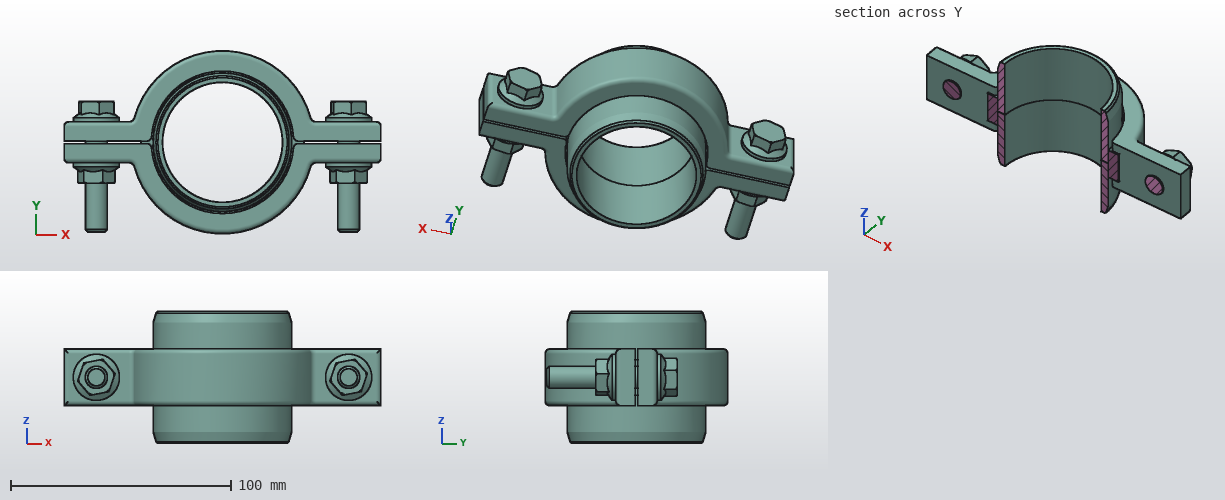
import cadquery as cq
import math

JOINED_LENGTH = 60.0
PIPE_LENGTH = JOINED_LENGTH / 2
PIPE_RADIUS = 31.5
PIPE_BORE_RADIUS = 27.2
BEVEL_LENGTH = 5.2
BEVEL_END_RADIUS = 30.2
PIPE_END_CHAMFER = 0.9

CLAMP_LENGTH = 143.9
CLAMP_HEIGHT = 25.8
RING_RADIUS = 41.6
CLAMP_BORE_RADIUS = 32.4
HALF_GAP = 0.6
LUG_FACE_Y = 9.4
RING_FOOT_X = math.sqrt(RING_RADIUS**2 - LUG_FACE_Y**2)
EDGE_FILLET = 2.2
ROOT_FILLET = 2.5
BORE_MOUTH_FILLET = 2.0

GASKET_RADIUS = 37.1
GASKET_HEIGHT = 16.1

BOLT_X = 57.3
BOLT_RADIUS = 5.0
BOLT_TIP_Y = -40.7
BOLT_TIP_CHAMFER = 1.2
FLANGE_RADIUS = 10.5
FLANGE_RIM = 1.7
FLANGE_CONE_SLOPE = 0.75
HEX_HEIGHT = 9.2
HEX_ACROSS_FLATS = 15.0
HEX_RADIUS = HEX_ACROSS_FLATS / math.sqrt(3)
HEX_CHAMFER = 0.6
HEX_END_RADIUS = 8.0

HEAD_TURN = -22.0
NUT_TURN = 11.0


def make_pipe(direction):
    """One pipe from the joint plane towards +Z (direction 1) or -Z (direction -1)."""
    profile = [
        (-PIPE_BORE_RADIUS, 0),
        (-PIPE_RADIUS, 0),
        (-PIPE_RADIUS, direction * (PIPE_LENGTH - BEVEL_LENGTH)),
        (-BEVEL_END_RADIUS, direction * (PIPE_LENGTH - PIPE_END_CHAMFER)),
        (-BEVEL_END_RADIUS + PIPE_END_CHAMFER, direction * PIPE_LENGTH),
        (-PIPE_BORE_RADIUS, direction * PIPE_LENGTH),
    ]
    return cq.Workplane("XZ").polyline(profile).close().revolve(360, (0, 0), (0, 1))


def make_gasket():
    """Seal ring around the pipe joint, centred on the joint plane."""
    rim = cq.Workplane("XY").circle(GASKET_RADIUS).circle(PIPE_RADIUS)
    return rim.extrude(GASKET_HEIGHT / 2, both=True)


def clamp_blank():
    """Half ring on +Y with a lug at each end, before it is rounded and bored."""
    return (
        cq.Workplane("XY")
        .workplane(offset=-CLAMP_HEIGHT / 2)
        .moveTo(-CLAMP_LENGTH / 2, HALF_GAP)
        .lineTo(CLAMP_LENGTH / 2, HALF_GAP)
        .lineTo(CLAMP_LENGTH / 2, LUG_FACE_Y)
        .lineTo(RING_FOOT_X, LUG_FACE_Y)
        .threePointArc((0, RING_RADIUS), (-RING_FOOT_X, LUG_FACE_Y))
        .lineTo(-CLAMP_LENGTH / 2, LUG_FACE_Y)
        .close()
        .extrude(CLAMP_HEIGHT)
    )


def upright_edges_at(x, y):
    """Selector for the edges parallel to Z that stand at (x, y) or (-x, y)."""
    reach = 0.1
    right = cq.selectors.BoxSelector((x - reach, y - reach, -reach), (x + reach, y + reach, reach))
    left = cq.selectors.BoxSelector((-x - reach, y - reach, -reach), (-x + reach, y + reach, reach))
    return right + left


def outer_rim_edges():
    """Selector for the top and bottom edges of the outward lug and ring faces."""
    behind_gap = cq.selectors.BoxSelector(
        (-CLAMP_LENGTH, LUG_FACE_Y - EDGE_FILLET, -CLAMP_HEIGHT),
        (CLAMP_LENGTH, CLAMP_LENGTH, CLAMP_HEIGHT),
    )
    return cq.selectors.SubtractSelector(behind_gap, cq.selectors.ParallelDirSelector(cq.Vector(0, 0, 1)))


def make_rear_clamp():
    """Clamp half on the +Y side of the split."""
    clamp = clamp_blank()
    clamp = clamp.edges(upright_edges_at(RING_FOOT_X, LUG_FACE_Y)).fillet(ROOT_FILLET)
    outer_edges = outer_rim_edges() + upright_edges_at(CLAMP_LENGTH / 2, LUG_FACE_Y)
    clamp = clamp.edges(outer_edges).fillet(EDGE_FILLET)

    bore = cq.Workplane("XY").circle(CLAMP_BORE_RADIUS).extrude(CLAMP_HEIGHT, both=True)
    bore_mouth_x = math.sqrt(CLAMP_BORE_RADIUS**2 - HALF_GAP**2)
    clamp = clamp.cut(bore)
    clamp = clamp.edges(upright_edges_at(bore_mouth_x, HALF_GAP)).fillet(BORE_MOUTH_FILLET)

    gasket_groove = cq.Workplane("XY").circle(GASKET_RADIUS).extrude(GASKET_HEIGHT / 2, both=True)
    bolt_holes = (
        cq.Workplane("XZ")
        .pushPoints([(-BOLT_X, 0), (BOLT_X, 0)])
        .circle(BOLT_RADIUS)
        .extrude(-LUG_FACE_Y)
    )
    return clamp.cut(gasket_groove).cut(bolt_holes)


def flanged_hex():
    """Hexagon on a conical flange, seated on the XY plane and rising along +Z."""
    cone_top_z = FLANGE_RIM + FLANGE_CONE_SLOPE * (FLANGE_RADIUS - BOLT_RADIUS)
    flange_profile = [
        (0, 0),
        (FLANGE_RADIUS, 0),
        (FLANGE_RADIUS, FLANGE_RIM),
        (BOLT_RADIUS, cone_top_z),
        (0, cone_top_z),
    ]
    flange = cq.Workplane("XZ").polyline(flange_profile).close().revolve(360, (0, 0), (0, 1))

    hexagon = cq.Workplane("XY").polygon(6, 2 * HEX_RADIUS).extrude(HEX_HEIGHT)
    turned_blank = (
        cq.Workplane("XY")
        .circle(HEX_RADIUS)
        .extrude(HEX_HEIGHT)
        .faces(">Z")
        .chamfer(HEX_CHAMFER, HEX_RADIUS - HEX_END_RADIUS)
    )
    return flange.union(hexagon.intersect(turned_blank))


def place_on_lug(part, x, side, turn):
    """Stand a part built along Z on the outward lug face on the given side, turned about its axis."""
    turned = part.rotate((0, 0, 0), (0, 0, 1), turn)
    return turned.rotate((0, 0, 0), (1, 0, 0), -90 * side).translate((x, side * LUG_FACE_Y, 0))


def make_bolt(x):
    """Flange bolt with its head on the +Y lug and its shank pointing to -Y."""
    shank_length = LUG_FACE_Y - BOLT_TIP_Y
    shank = (
        cq.Workplane("XY")
        .circle(BOLT_RADIUS)
        .extrude(-shank_length)
        .faces("<Z")
        .chamfer(BOLT_TIP_CHAMFER)
    )
    return place_on_lug(flanged_hex().union(shank), x, 1, HEAD_TURN)


def make_nut(x):
    """Flange nut seated on the -Y lug."""
    nut = flanged_hex().faces("<Z").workplane().circle(BOLT_RADIUS).cutThruAll()
    return place_on_lug(nut, x, -1, NUT_TURN)


pipes = [make_pipe(direction) for direction in (1, -1)]
gasket = make_gasket()
rear_clamp = make_rear_clamp()
front_clamp = rear_clamp.mirror("XZ")
bolts = [make_bolt(x) for x in (-BOLT_X, BOLT_X)]
nuts = [make_nut(x) for x in (-BOLT_X, BOLT_X)]

result = cq.Compound.makeCompound(
    [
        *[pipe.val() for pipe in pipes],
        gasket.val(),
        rear_clamp.val(),
        front_clamp.val(),
        *[bolt.val() for bolt in bolts],
        *[nut.val() for nut in nuts],
    ]
)